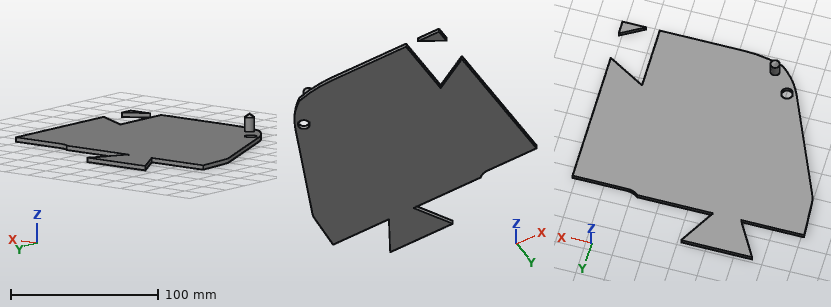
import cadquery as cq
import math

length = 164.3
thickness = 3.1
left_top_y = 129.3
right_top_y = 126.3
left_side_foot = (2.1, 99.4)
left_side_radius = 15.6
slope_foot = (34.3, 24.5)
corner_start = (49.5, 5.0)
corner_end = (50.6, 4.3)
bottom_start_x = 79.2
step_start_x = 117.8
step_end_x = 125.4

dovetail_depth = 26.3
dovetail_neck = 19.9
dovetail_flank_angle = 30
dovetail_flare = dovetail_depth * math.tan(math.radians(dovetail_flank_angle))
tail_center_x = 54.4
socket_center_y = 19.7

hole_center = (41.2, 24.6)
hole_diameter = 8.0
pin_center = (53.7, 10.0)
pin_diameter = 6.5
pin_shoulder_z = 12.8
pin_tip_z = 15.3
pin_bevel_height = 0.7
pin_bevel_width = 0.2


def tangent_arc_middle(tangent_point, other):
    """Middle of the arc that leaves tangent_point along X, curves up and ends at other."""
    run = other[0] - tangent_point[0]
    rise = other[1] - tangent_point[1]
    radius = (run**2 + rise**2) / (2 * rise)
    half_sweep = math.atan2(rise, abs(run))
    return (
        tangent_point[0] + math.copysign(radius * math.sin(half_sweep), run),
        tangent_point[1] + radius * (1 - math.cos(half_sweep)),
    )


def plate_blank():
    """Full plate outline, before the tail is added and the socket and hole are cut."""
    bottom_start = (bottom_start_x, 0)
    step_start = (step_start_x, left_top_y)
    step_end = (step_end_x, right_top_y)
    return (
        cq.Workplane("XY")
        .moveTo(0, left_top_y)
        .lineTo(*left_side_foot)
        .lineTo(*slope_foot)
        .tangentArcPoint(corner_start, relative=False)
        .lineTo(*corner_end)
        .threePointArc(tangent_arc_middle(bottom_start, corner_end), bottom_start)
        .lineTo(length, 0)
        .lineTo(length, right_top_y)
        .lineTo(*step_end)
        .threePointArc(tangent_arc_middle(step_end, step_start), step_start)
        .close()
        .extrude(thickness)
        .edges(cq.selectors.NearestToPointSelector((*left_side_foot, thickness / 2)))
        .fillet(left_side_radius)
    )


def dovetail():
    """Dovetail with its neck centred on the origin, widening toward +Y."""
    half_neck = dovetail_neck / 2
    half_wide = half_neck + dovetail_flare
    return (
        cq.Workplane("XY")
        .polyline([
            (-half_neck, 0),
            (half_neck, 0),
            (half_wide, dovetail_depth),
            (-half_wide, dovetail_depth),
        ])
        .close()
        .extrude(thickness)
    )


def pin():
    """Upright pin with a bevelled shoulder and a conical tip, turned about its own axis."""
    radius = pin_diameter / 2
    profile = (
        cq.Workplane("XZ")
        .polyline([
            (0, 0),
            (-radius, 0),
            (-radius, pin_shoulder_z - pin_bevel_height),
            (-radius + pin_bevel_width, pin_shoulder_z),
            (0, pin_tip_z),
        ])
        .close()
    )
    return profile.revolve(360, (0, 0, 0), (0, 1, 0)).translate((*pin_center, 0))


def hole():
    """Cutter for the round through hole."""
    return cq.Workplane("XY").center(*hole_center).circle(hole_diameter / 2).extrude(thickness)


socket = dovetail().rotate((0, 0, 0), (0, 0, 1), 90).translate((length, socket_center_y, 0))
tail = dovetail().translate((tail_center_x, left_top_y, 0))
cut_blank = plate_blank().cut(socket)

main_piece = cut_blank.solids("<X")
plate = main_piece.union(tail).cut(hole()).union(pin()).solids()

corner_piece = cut_blank.solids(">X")

result = cq.Compound.makeCompound([plate.val(), corner_piece.val()])